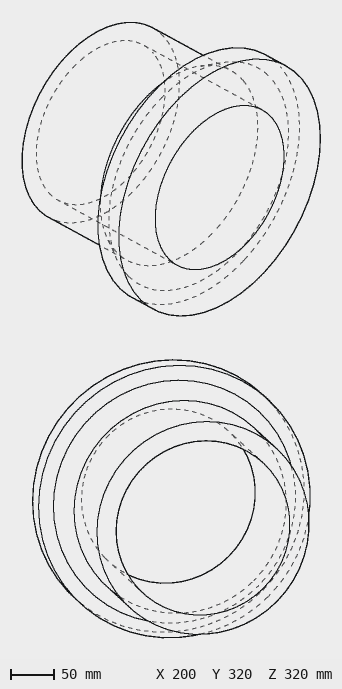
import cadquery as cq

total_length = 200.0
flange_thickness = 35.2
cone_length = 33.0
flange_diameter = 320.0
cone_diameter = 285.0
pipe_diameter = 250.0
bore_diameter = 204.5

flange_start = total_length - flange_thickness
cone_start = flange_start - cone_length

half_section = [
    (0, bore_diameter / 2),
    (0, pipe_diameter / 2),
    (cone_start, pipe_diameter / 2),
    (flange_start, cone_diameter / 2),
    (flange_start, flange_diameter / 2),
    (total_length, flange_diameter / 2),
    (total_length, bore_diameter / 2),
]

result = cq.Workplane("XY").polyline(half_section).close().revolve(360, (0, 0, 0), (1, 0, 0))